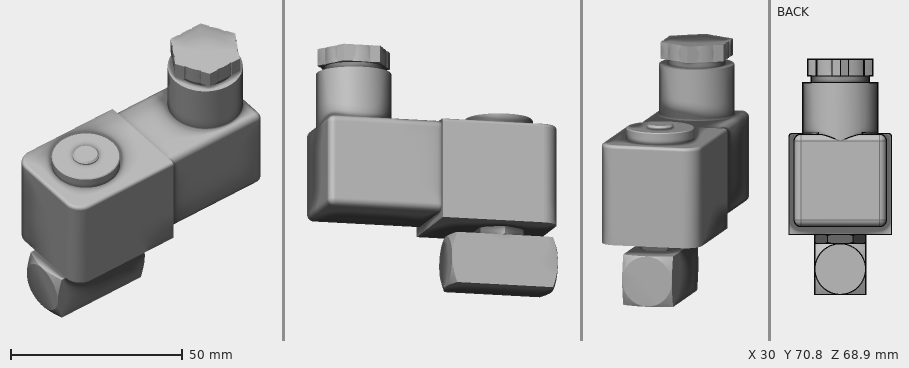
import cadquery as cq
import math

OVERALL_LENGTH = 70.8
OVERALL_HEIGHT = 68.89
OVERLAP = 1.0

BLOCK_SIDE = 15.0
BLOCK_LENGTH = 32.0
BLOCK_FACE_DIA = 14.8
BLOCK_CONE_ANGLE = 25.0

NUT_ACROSS_FLATS = 13.0
NUT_HEIGHT = 2.6
NUT_FACE_DIA = 14.0
NUT_CONE_ANGLE = 30.0

COIL_WIDTH = 30.0
COIL_FRONT = 14.7
COIL_BACK = 20.8
COIL_HEIGHT = 29.6
COIL_CORNER_RADIUS = 5.0
COIL_TOP_FILLET = 1.0

DISC_DIA = 20.0
DISC_HEIGHT = 3.4
DISC_CHAMFER = 0.25
PIN_DIA = 7.8
PIN_HEIGHT = 0.95
PIN_CHAMFER = 0.5

BOX_WIDTH = 27.0
BOX_HEIGHT = 27.0
BOX_TOP_DROP = 0.3
BOX_FILLET = 2.0

TOWER_DIA = 22.0
TOWER_HEIGHT = 15.1
FLARE_RADIUS = 0.45
NECK_DIA = 17.0
CAP_HEIGHT = 4.95
CAP_CORNER_DIA = 22.0
GRIP_OUTER_HALF_WIDTH = 2.65
GRIP_INNER_HALF_WIDTH = 2.45

HEX_SIDES = 6
COIL_BOTTOM = BLOCK_SIDE + NUT_HEIGHT
COIL_TOP = COIL_BOTTOM + COIL_HEIGHT
BOX_TOP = COIL_TOP - BOX_TOP_DROP
BOX_BACK = OVERALL_LENGTH - BLOCK_LENGTH / 2
TOWER_Y = BOX_BACK - TOWER_DIA / 2
TOWER_TOP = BOX_TOP + TOWER_HEIGHT
CAP_BOTTOM = OVERALL_HEIGHT - CAP_HEIGHT


def cylinder(diameter, height, y, z):
    """Vertical cylinder centred on X = 0, standing on height z."""
    return cq.Workplane("XY", origin=(0, y, z)).circle(diameter / 2).extrude(height)


def double_cone(length, face_dia, corner_dia, angle):
    """Round blank along Z whose two ends are coned down to face_dia."""
    face_radius = face_dia / 2
    outer_radius = corner_dia / 2
    depth = (outer_radius - face_radius) * math.tan(math.radians(angle))
    profile = [
        (0, 0),
        (face_radius, 0),
        (outer_radius, depth),
        (outer_radius, length - depth),
        (face_radius, length),
        (0, length),
    ]
    return cq.Workplane("XZ").polyline(profile).close().revolve(360, (0, 0, 0), (0, 1, 0))


def make_block():
    bar = cq.Workplane("XY").box(BLOCK_SIDE, BLOCK_SIDE, BLOCK_LENGTH, centered=(True, True, False))
    corner_dia = BLOCK_SIDE * math.sqrt(2) + OVERLAP
    bar = bar.intersect(double_cone(BLOCK_LENGTH, BLOCK_FACE_DIA, corner_dia, BLOCK_CONE_ANGLE))
    bar = bar.rotate((0, 0, 0), (1, 0, 0), 90)
    return bar.translate((0, BLOCK_LENGTH / 2, BLOCK_SIDE / 2))


def make_nut():
    corner_dia = NUT_ACROSS_FLATS / math.cos(math.pi / HEX_SIDES)
    nut = cq.Workplane("XY").polygon(HEX_SIDES, corner_dia).extrude(NUT_HEIGHT)
    nut = nut.intersect(double_cone(NUT_HEIGHT, NUT_FACE_DIA, corner_dia + OVERLAP, NUT_CONE_ANGLE))
    return nut.translate((0, 0, BLOCK_SIDE))


def make_coil():
    length = COIL_FRONT + COIL_BACK
    coil = (
        cq.Workplane("XY", origin=(0, -COIL_FRONT, COIL_BOTTOM))
        .box(COIL_WIDTH, length, COIL_HEIGHT, centered=(True, False, False))
    )
    coil = coil.edges("|Z and <Y").fillet(COIL_CORNER_RADIUS)
    return coil.faces(">Z").edges("not >Y").fillet(COIL_TOP_FILLET)


def make_disc_and_pin():
    disc = cylinder(DISC_DIA, DISC_HEIGHT, 0, COIL_TOP).faces(">Z").chamfer(DISC_CHAMFER)
    pin = cylinder(PIN_DIA, PIN_HEIGHT, 0, COIL_TOP + DISC_HEIGHT).faces(">Z").chamfer(PIN_CHAMFER)
    return disc.union(pin)


def make_connector_box():
    box = (
        cq.Workplane("XY", origin=(0, COIL_BACK - OVERLAP, BOX_TOP - BOX_HEIGHT))
        .box(BOX_WIDTH, BOX_BACK - COIL_BACK + OVERLAP, BOX_HEIGHT, centered=(True, False, False))
    )
    return box.edges("|Y or >Y").fillet(BOX_FILLET)


def make_flare():
    """Concave flare at the tower foot, kept to the flat part of the box top."""
    radius = TOWER_DIA / 2
    mid = FLARE_RADIUS * (1 - math.sqrt(0.5))
    flare = (
        cq.Workplane("XZ", origin=(0, TOWER_Y, BOX_TOP))
        .moveTo(0, -OVERLAP)
        .lineTo(radius + FLARE_RADIUS, -OVERLAP)
        .lineTo(radius + FLARE_RADIUS, 0)
        .threePointArc((radius + mid, mid), (radius, FLARE_RADIUS))
        .lineTo(0, FLARE_RADIUS)
        .close()
        .revolve(360, (0, 0, 0), (0, 1, 0))
    )
    flat_length = BOX_BACK - BOX_FILLET - COIL_BACK
    flat_top = (
        cq.Workplane("XY", origin=(0, COIL_BACK, BOX_TOP - OVERLAP))
        .box(BOX_WIDTH - 2 * BOX_FILLET, flat_length, 2 * OVERLAP, centered=(True, False, False))
    )
    return flare.intersect(flat_top)


def make_tower():
    foot = BOX_TOP - BOX_FILLET
    tower = cylinder(TOWER_DIA, TOWER_TOP - foot, TOWER_Y, foot)
    neck = cylinder(NECK_DIA, CAP_BOTTOM - TOWER_TOP + OVERLAP, TOWER_Y, TOWER_TOP)
    return tower.union(make_flare()).union(neck)


def make_cap():
    """Hexagon cap; every flat has a shallow notch with a round floor touching the flat midway."""
    flat = CAP_CORNER_DIA / 2 * math.cos(math.pi / HEX_SIDES)
    floor = math.sqrt(flat**2 - GRIP_INNER_HALF_WIDTH**2)
    cap = (
        cq.Workplane("XY")
        .polygon(HEX_SIDES, CAP_CORNER_DIA)
        .extrude(CAP_HEIGHT)
        .rotate((0, 0, 0), (0, 0, 1), 180 / HEX_SIDES)
    )
    notch = (
        cq.Workplane("XY")
        .moveTo(flat, -GRIP_OUTER_HALF_WIDTH)
        .lineTo(floor, -GRIP_INNER_HALF_WIDTH)
        .threePointArc((flat, 0), (floor, GRIP_INNER_HALF_WIDTH))
        .lineTo(flat, GRIP_OUTER_HALF_WIDTH)
        .lineTo(flat + OVERLAP, GRIP_OUTER_HALF_WIDTH)
        .lineTo(flat + OVERLAP, -GRIP_OUTER_HALF_WIDTH)
        .close()
        .extrude(CAP_HEIGHT)
    )
    for side in range(HEX_SIDES):
        cap = cap.cut(notch.rotate((0, 0, 0), (0, 0, 1), side * 360 / HEX_SIDES))
    return cap.translate((0, TOWER_Y, CAP_BOTTOM))


result = (
    make_block()
    .union(make_nut())
    .union(make_coil())
    .union(make_disc_and_pin())
    .union(make_connector_box())
    .union(make_tower())
    .union(make_cap())
)